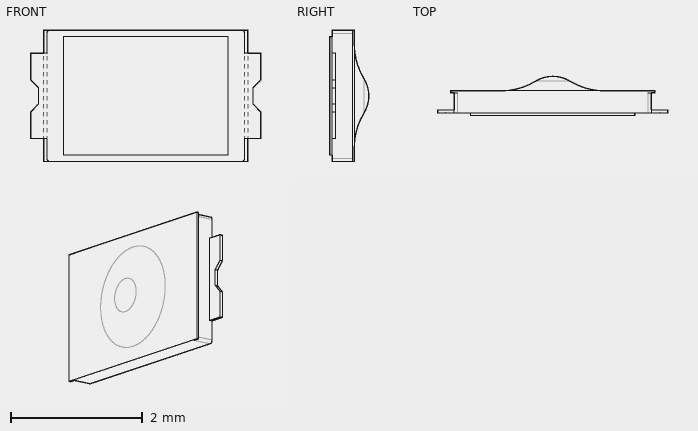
import cadquery as cq
import math

LENGTH = 3.5
THICKNESS = 0.6
HEIGHT = 2.0

HOUSING_LENGTH = 3.0
HOUSING_THICKNESS = 0.34
CORNER_RADIUS = 0.05

COVER_LENGTH = 3.1
COVER_THICKNESS = 0.03

PAD_LENGTH = 2.5
PAD_HEIGHT = 1.8
PAD_THICKNESS = 0.04

TERMINAL_HEIGHT = 1.3
TERMINAL_THICKNESS = 0.05
NOTCH_DEPTH = 0.12
NOTCH_MOUTH = 0.49
NOTCH_FLOOR = 0.245

DOME_RISE = THICKNESS - PAD_THICKNESS - HOUSING_THICKNESS
CAP_RADIUS = 0.5
FLARE_RADIUS = 1.0


def slab(length, height, y_start, thickness):
    """Rectangular plate centred in X and Z, growing towards +Y from y_start."""
    return cq.Workplane("XY").box(length, thickness, height).translate((0, y_start + thickness / 2, 0))


def make_housing():
    core_thickness = HOUSING_THICKNESS - COVER_THICKNESS
    core = slab(HOUSING_LENGTH, HEIGHT, 0, core_thickness).edges("|Y").fillet(CORNER_RADIUS)
    cover = slab(COVER_LENGTH, HEIGHT, core_thickness, COVER_THICKNESS)
    return core.union(cover)


def make_terminals():
    """One strip through the housing whose two notched ends form the terminals."""
    strip = slab(LENGTH, TERMINAL_HEIGHT, 0, TERMINAL_THICKNESS)
    for side in (-1, 1):
        end_x = side * LENGTH / 2
        floor_x = end_x - side * NOTCH_DEPTH
        notch = (
            cq.Workplane("XZ")
            .moveTo(end_x, -NOTCH_MOUTH / 2)
            .lineTo(floor_x, -NOTCH_FLOOR / 2)
            .lineTo(floor_x, NOTCH_FLOOR / 2)
            .lineTo(end_x, NOTCH_MOUTH / 2)
            .close()
            .extrude(-TERMINAL_THICKNESS)
        )
        strip = strip.cut(notch)
    return strip


def make_dome():
    base_y = HOUSING_THICKNESS
    top_y = base_y + DOME_RISE
    cap_center_y = top_y - CAP_RADIUS
    flare_center_y = base_y + FLARE_RADIUS

    center_rise = flare_center_y - cap_center_y
    base_radius = math.sqrt((CAP_RADIUS + FLARE_RADIUS) ** 2 - center_rise**2)
    slope = math.atan2(base_radius, center_rise)

    def cap_point(angle):
        return CAP_RADIUS * math.sin(angle), cap_center_y + CAP_RADIUS * math.cos(angle)

    def flare_point(angle):
        return base_radius - FLARE_RADIUS * math.sin(angle), flare_center_y - FLARE_RADIUS * math.cos(angle)

    root_y = base_y - COVER_THICKNESS / 2
    return (
        cq.Workplane("XY")
        .moveTo(0, root_y)
        .lineTo(0, top_y)
        .threePointArc(cap_point(slope / 2), cap_point(slope))
        .threePointArc(flare_point(slope / 2), flare_point(0))
        .lineTo(base_radius, root_y)
        .close()
        .revolve(360, (0, 0, 0), (0, 1, 0))
    )


pad = slab(PAD_LENGTH, PAD_HEIGHT, -PAD_THICKNESS, PAD_THICKNESS)
result = make_housing().union(make_terminals()).union(pad).union(make_dome())